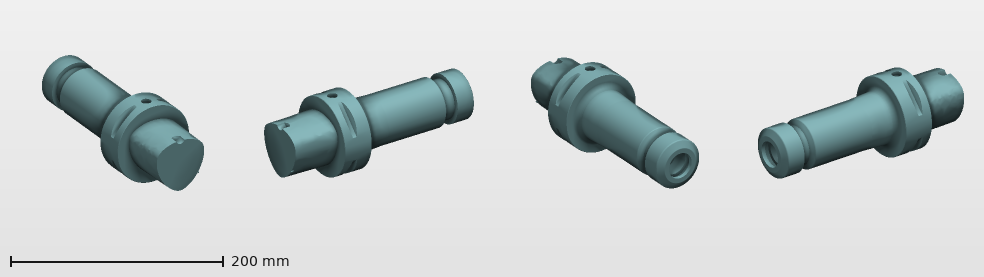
import cadquery as cq
import math

total_length = 208
head_end = 22.5
collar_start = 31.8
cone_start = 101.0
cone_end = 124.2
flare_start = 124.8
flange_start = 129.8
flange_end = 160.2
shank_end = 207.4

body_radius = 25
nose_radius = 17.9
nose_chamfer_length = 4.2
neck_radius = 40.0 / 2
collar_chamfer_length = 4.0
cone_end_radius = 52.5 / 2
flare_outer_radius = 32.5
flange_radius = 80.0 / 2
flange_chamfer = 0.5
nose_rim_fillet = 1.0
nose_shoulder_fillet = 1.7
collar_fillet = 1.2
cone_blend_length = 0.6

mouth_radius = 26.0 / 2
lip_length = 4.2
groove_radius = 16.5
seat_start = 10.2
seat_end_radius = 22.3 / 2
seat_half_angle = 8

shank_base_radius = 27.5
shank_tip_radius = 26.52
lobe_height = 2.18
shank_points = 72

key_radius = 9.5 / 2
key_length = 11.0
key_point_length = 2.7
key_axis_offset = 1.2
key_axis_height = shank_tip_radius - lobe_height + key_axis_offset

pin_radius = 0.6
pin_y = 19.8
pin_z = -14.8
pin_embed = 2

slot_center = 147.9
slot_floor_width = 4.2
slot_depth = 4.5
slot_half_angle = 30
slot_angles = (45, 135, 225, 315)
socket_radius = 10.0 / 2
socket_depth = 4.4
pilot_radius = 4.0 / 2
pilot_depth = 2
pilot_point_length = 1.0


def revolve_about_x(profile):
    return profile.close().revolve(360, (0, 0, 0), (1, 0, 0))


def fillet_ring(body, x, radius, fillet):
    """Round the circular edge with the given station and radius."""
    tolerance = 0.1
    corner = radius + tolerance
    candidates = body.edges(
        cq.selectors.BoxSelector(
            (x - tolerance, -corner, -corner), (x + tolerance, corner, corner), boundingbox=True
        )
    )
    inner_limit = radius - tolerance
    return candidates.filter(lambda edge: edge.BoundingBox().zmax > inner_limit).fillet(fillet)


def make_body():
    flare_sag = 1 - math.sqrt(0.5)
    flare_width = flange_start - flare_start
    flare_height = flare_outer_radius - cone_end_radius
    flare_middle = (flange_start - flare_width * flare_sag, cone_end_radius + flare_height * flare_sag)
    collar_chamfer_end = collar_start + collar_chamfer_length
    cone_slope = math.atan2(cone_end_radius - body_radius, cone_end - cone_start)
    blend_end = (
        cone_start + cone_blend_length * math.cos(cone_slope),
        body_radius + cone_blend_length * math.sin(cone_slope),
    )
    body = revolve_about_x(
        cq.Workplane("XY")
        .lineTo(0, nose_radius)
        .lineTo(nose_chamfer_length, body_radius)
        .lineTo(head_end, body_radius)
        .lineTo(head_end, neck_radius)
        .lineTo(collar_start, neck_radius)
        .lineTo(collar_chamfer_end, body_radius)
        .lineTo(cone_start - cone_blend_length, body_radius)
        .tangentArcPoint(blend_end, relative=False)
        .lineTo(cone_end, cone_end_radius)
        .lineTo(flare_start, cone_end_radius)
        .threePointArc(flare_middle, (flange_start, flare_outer_radius))
        .lineTo(flange_start, flange_radius - flange_chamfer)
        .lineTo(flange_start + flange_chamfer, flange_radius)
        .lineTo(flange_end - flange_chamfer, flange_radius)
        .lineTo(flange_end, flange_radius - flange_chamfer)
        .lineTo(flange_end, 0)
    )
    body = fillet_ring(body, 0, nose_radius, nose_rim_fillet)
    body = fillet_ring(body, nose_chamfer_length, body_radius, nose_shoulder_fillet)
    return fillet_ring(body, collar_chamfer_end, body_radius, collar_fillet)


def make_bore():
    seat_length = (mouth_radius - seat_end_radius) / math.tan(math.radians(seat_half_angle))
    seat_end = seat_start + seat_length
    return revolve_about_x(
        cq.Workplane("XY")
        .lineTo(0, mouth_radius)
        .lineTo(lip_length, mouth_radius)
        .lineTo(lip_length, groove_radius)
        .lineTo(seat_start, groove_radius)
        .lineTo(seat_start, mouth_radius)
        .lineTo(seat_end, seat_end_radius)
        .lineTo(seat_end, 0)
    )


def lobed_point(angle, mean_radius):
    """Point (y, z) of the constant-width curve whose support is mean + lobe * sin(3 * angle)."""
    support = mean_radius + lobe_height * math.sin(3 * angle)
    slope = 3 * lobe_height * math.cos(3 * angle)
    y = support * math.cos(angle) - slope * math.sin(angle)
    z = support * math.sin(angle) + slope * math.cos(angle)
    return y, z


def lobed_outline(mean_radius):
    return [lobed_point(2 * math.pi * i / shank_points, mean_radius) for i in range(shank_points)]


def make_shank():
    return (
        cq.Workplane("YZ", origin=(flange_end, 0, 0))
        .spline(lobed_outline(shank_base_radius), periodic=True)
        .close()
        .workplane(offset=shank_end - flange_end)
        .spline(lobed_outline(shank_tip_radius), periodic=True)
        .close()
        .loft(ruled=True)
    )


def make_key_groove():
    point_x = shank_end - key_length
    cutter = revolve_about_x(
        cq.Workplane("XY")
        .moveTo(point_x, 0)
        .lineTo(point_x + key_point_length, key_radius)
        .lineTo(total_length, key_radius)
        .lineTo(total_length, 0)
    )
    return cutter.translate((0, 0, key_axis_height))


def make_pin():
    start = shank_end - pin_embed
    return cq.Workplane("YZ", origin=(start, pin_y, pin_z)).circle(pin_radius).extrude(total_length - start)


def make_flange_slot(angle):
    """Straight trapezoidal slot across the flange rim, turned about X."""
    floor_half = slot_floor_width / 2
    floor_z = flange_radius - slot_depth
    top_half = floor_half + slot_depth * math.tan(math.radians(slot_half_angle))
    slot = (
        cq.Workplane("XZ")
        .moveTo(slot_center - floor_half, floor_z)
        .lineTo(slot_center + floor_half, floor_z)
        .lineTo(slot_center + top_half, flange_radius)
        .lineTo(slot_center - top_half, flange_radius)
        .close()
        .extrude(flange_radius, both=True)
    )
    return slot.rotate((0, 0, 0), (1, 0, 0), angle)


def make_socket():
    """Stepped radial hole with a pointed bottom, entering the flange from +Z."""
    floor_z = flange_radius - socket_depth
    pilot_end = floor_z - pilot_depth
    return (
        cq.Workplane("XZ")
        .moveTo(0, flange_radius)
        .lineTo(socket_radius, flange_radius)
        .lineTo(socket_radius, floor_z)
        .lineTo(pilot_radius, floor_z)
        .lineTo(pilot_radius, pilot_end)
        .lineTo(0, pilot_end - pilot_point_length)
        .close()
        .revolve(360, (0, 0, 0), (0, 1, 0))
        .translate((slot_center, 0, 0))
    )


result = make_body().union(make_shank()).cut(make_key_groove()).union(make_pin()).cut(make_bore())
for slot_angle in slot_angles:
    result = result.cut(make_flange_slot(slot_angle))
result = result.cut(make_socket())